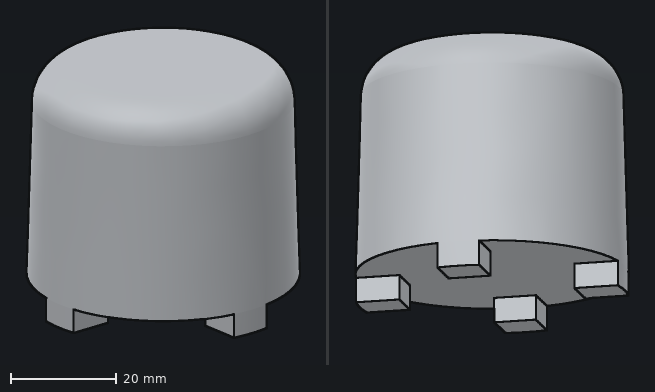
import cadquery as cq

base_diameter = 52.1
total_height = 47.75
foot_height = 4.8

top_diameter = 49.6
top_rounding = 8.05

foot_count = 4
foot_width = 8.2
foot_depth = 8.85

base_radius = base_diameter / 2
top_radius = top_diameter / 2


def make_body():
    """Solid tapered cap standing on top of the feet."""
    profile = (
        cq.Workplane("XZ")
        .moveTo(0, foot_height)
        .lineTo(base_radius, foot_height)
        .lineTo(top_radius, total_height)
        .lineTo(0, total_height)
        .close()
    )
    cone = profile.revolve(360, (0, 0, 0), (0, 1, 0))
    return cone.faces(">Z").edges().fillet(top_rounding)


def make_feet():
    """Radial blocks whose outer faces follow the round rim."""
    blocks = cq.Workplane("XY")
    for index in range(foot_count):
        block = (
            cq.Workplane("XY")
            .center(base_radius - foot_depth / 2, 0)
            .rect(foot_depth, foot_width)
            .extrude(foot_height)
            .rotate((0, 0, 0), (0, 0, 1), index * 360 / foot_count)
        )
        blocks = blocks.add(block)
    rim = cq.Workplane("XY").circle(base_radius).extrude(foot_height)
    return rim.intersect(blocks.combine())


result = make_body().union(make_feet())